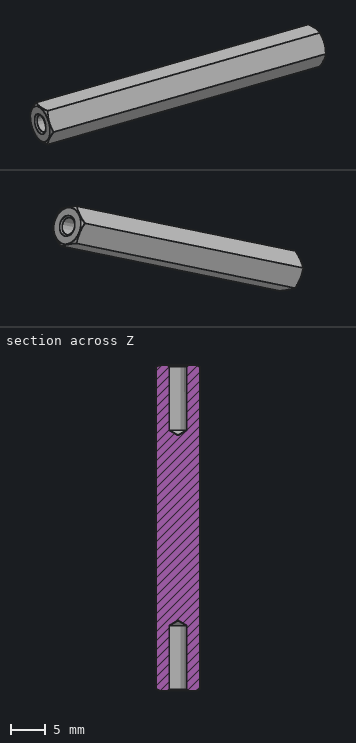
import cadquery as cq
import math

length = 47.0
across_flats = 5.5
across_corners = across_flats / math.cos(math.radians(30))

end_face_diameter = 5.3
end_chamfer_angle = 30.0

bore_diameter = 2.5
countersink_diameter = 3.0
bore_depth = 9.4
drill_point_angle = 118.0


def hexagonal_bar():
    return (
        cq.Workplane("XZ")
        .polygon(6, across_corners)
        .extrude(length / 2, both=True)
    )


def chamfer_envelope():
    """Round bar with conical ends; it trims only the hexagon corners."""
    corner_radius = across_corners / 2
    face_radius = end_face_diameter / 2
    chamfer_length = (corner_radius - face_radius) * math.tan(math.radians(end_chamfer_angle))
    shoulder = length / 2 - chamfer_length
    return (
        cq.Workplane("XY")
        .moveTo(0, -length / 2)
        .lineTo(face_radius, -length / 2)
        .lineTo(corner_radius, -shoulder)
        .lineTo(corner_radius, shoulder)
        .lineTo(face_radius, length / 2)
        .lineTo(0, length / 2)
        .close()
        .revolve(360, (0, 0, 0), (0, 1, 0))
    )


def end_hole(side):
    """Hole cutter entering from the end at side = -1 (-Y) or +1 (+Y)."""
    bore_radius = bore_diameter / 2
    countersink_radius = countersink_diameter / 2
    countersink_depth = countersink_radius - bore_radius
    point_depth = bore_radius / math.tan(math.radians(drill_point_angle / 2))
    end = length / 2
    return (
        cq.Workplane("XY")
        .moveTo(0, side * end)
        .lineTo(countersink_radius, side * end)
        .lineTo(bore_radius, side * (end - countersink_depth))
        .lineTo(bore_radius, side * (end - bore_depth))
        .lineTo(0, side * (end - bore_depth - point_depth))
        .close()
        .revolve(360, (0, 0, 0), (0, 1, 0))
    )


result = hexagonal_bar().intersect(chamfer_envelope())
for side in (-1, 1):
    result = result.cut(end_hole(side))